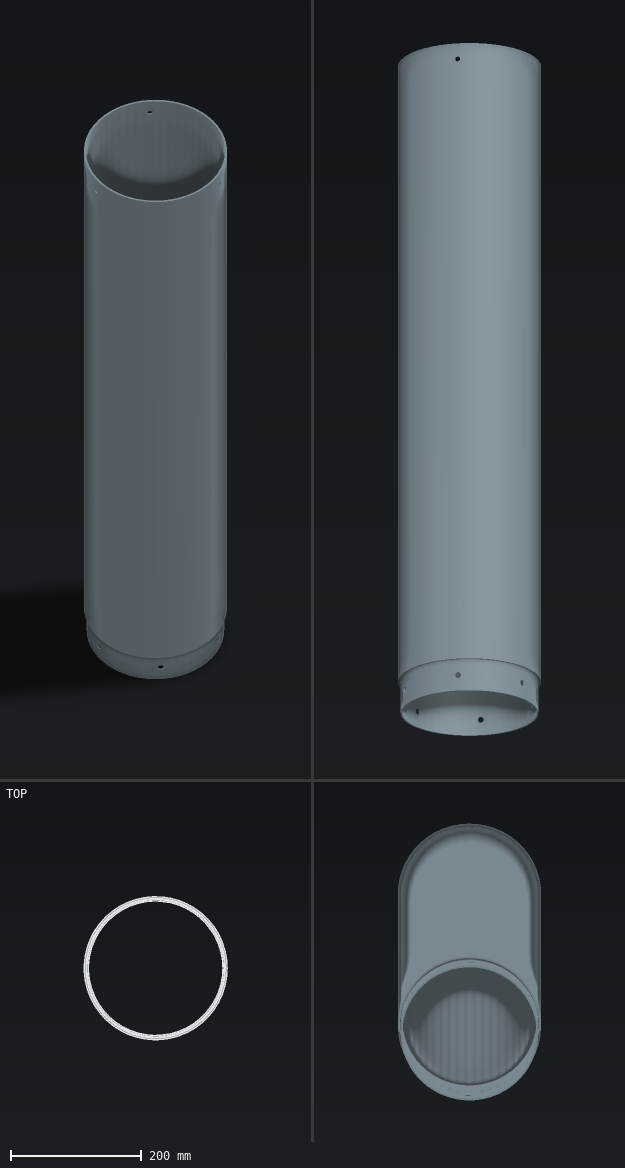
import cadquery as cq

total_height = 1050.0
sleeve_exposed_length = 50.0
sleeve_hidden_length = sleeve_exposed_length
pipe_bottom = sleeve_exposed_length
pipe_length = total_height - sleeve_exposed_length
sleeve_length = sleeve_exposed_length + sleeve_hidden_length

pipe_outer_diameter = 219.0
pipe_inner_diameter = 213.0
sleeve_outer_diameter = 211.0
sleeve_inner_diameter = 206.0

hole_end_distance = sleeve_exposed_length / 2
pipe_hole_diameter = 8.0
pipe_hole_count = 3
sleeve_hole_diameter = 9.2
sleeve_hole_count = 6


def make_tube(outer_diameter, inner_diameter, bottom, length):
    """Plain round tube along Z."""
    return (
        cq.Workplane("XY")
        .workplane(offset=bottom)
        .circle(outer_diameter / 2)
        .circle(inner_diameter / 2)
        .extrude(length)
    )


def cut_radial_holes(tube, diameter, count, height):
    """Cut a ring of radial holes through one wall each, the first facing -Y."""
    cutter = (
        cq.Workplane("XZ", origin=(0, 0, height))
        .circle(diameter / 2)
        .extrude(pipe_outer_diameter)
    )
    for index in range(count):
        angle = index * 360 / count
        tube = tube.cut(cutter.rotate((0, 0, 0), (0, 0, 1), angle))
    return tube


def make_pipe():
    """Long outer pipe with one row of holes near its top end."""
    pipe = make_tube(pipe_outer_diameter, pipe_inner_diameter, pipe_bottom, pipe_length)
    hole_height = total_height - hole_end_distance
    return cut_radial_holes(pipe, pipe_hole_diameter, pipe_hole_count, hole_height)


def make_sleeve():
    """Short inner sleeve with one row of holes halfway up its exposed part."""
    sleeve = make_tube(sleeve_outer_diameter, sleeve_inner_diameter, 0, sleeve_length)
    return cut_radial_holes(sleeve, sleeve_hole_diameter, sleeve_hole_count, hole_end_distance)


pipe = make_pipe()
sleeve = make_sleeve()
result = cq.Compound.makeCompound([pipe.val(), sleeve.val()])